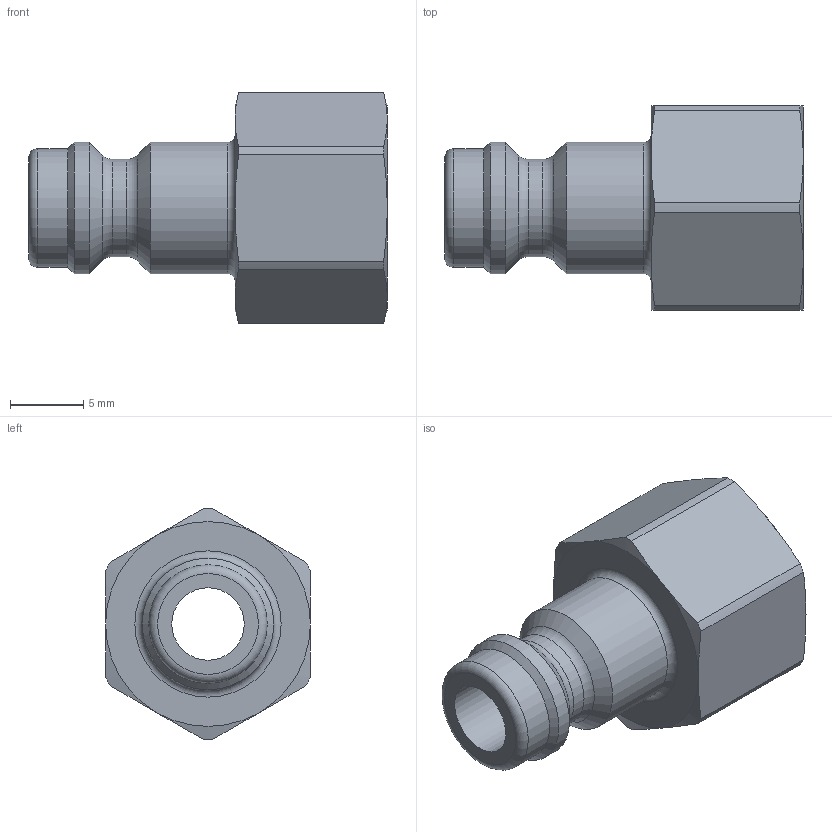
import cadquery as cq
import math

total_length = 24.5
collar_chamfer_start = 2.65
collar_end = 4.13
shank_start = 8.3
hex_start = 14.1

bore_diameter = 4.95
nose_diameter = 8.1
collar_diameter = 9.0
groove_diameter = 6.65

side_count = 6
across_flats = 14.0
across_corners = 15.8
hex_chamfer_angle = 15.0

nose_radius = 0.6
groove_radius = 1.0
groove_flank_degrees = 45.0
shoulder_radius = 0.5

nose_r = nose_diameter / 2
collar_r = collar_diameter / 2
groove_r = groove_diameter / 2
collar_step = collar_r - nose_r
flank_angle = math.radians(groove_flank_degrees)


def groove_flank_sizes():
    """Cone length, fillet length and fillet height of one groove flank."""
    arc_length = groove_radius * math.sin(flank_angle)
    arc_height = groove_radius * (1 - math.cos(flank_angle))
    cone_length = (collar_r - groove_r - arc_height) / math.tan(flank_angle)
    return cone_length, arc_length, arc_height


def make_plug():
    """Revolved plug: rounded nose, collar, locking groove and shank."""
    cone_length, arc_length, arc_height = groove_flank_sizes()
    half_angle = flank_angle / 2
    mid_length = groove_radius * math.sin(half_angle)
    mid_height = groove_radius * (1 - math.cos(half_angle))
    nose_mid = nose_radius * (1 - math.sqrt(0.5))
    shoulder_mid = shoulder_radius * (1 - math.sqrt(0.5))
    floor_start = collar_end + cone_length + arc_length
    floor_end = shank_start - cone_length - arc_length

    profile = (
        cq.Workplane("XY")
        .moveTo(0, 0)
        .lineTo(0, nose_r - nose_radius)
        .threePointArc((nose_mid, nose_r - nose_mid), (nose_radius, nose_r))
        .lineTo(collar_chamfer_start, nose_r)
        .lineTo(collar_chamfer_start + collar_step, collar_r)
        .lineTo(collar_end, collar_r)
        .lineTo(collar_end + cone_length, groove_r + arc_height)
        .threePointArc((floor_start - mid_length, groove_r + mid_height), (floor_start, groove_r))
        .lineTo(floor_end, groove_r)
        .threePointArc(
            (floor_end + mid_length, groove_r + mid_height),
            (floor_end + arc_length, groove_r + arc_height),
        )
        .lineTo(shank_start, collar_r)
        .lineTo(hex_start - shoulder_radius, collar_r)
        .threePointArc(
            (hex_start - shoulder_mid, collar_r + shoulder_mid),
            (hex_start, collar_r + shoulder_radius),
        )
        .lineTo(hex_start, 0)
        .close()
    )
    return profile.revolve(360, (0, 0, 0), (1, 0, 0))


def make_hex():
    """Hexagon with corners turned to a cylinder and both ends chamfered by a cone."""
    sharp_corner_diameter = across_flats / math.cos(math.pi / side_count)
    hexagon = (
        cq.Workplane("YZ", origin=(hex_start, 0, 0))
        .transformed(rotate=(0, 0, 90))
        .polygon(side_count, sharp_corner_diameter)
        .extrude(total_length - hex_start)
    )
    face_r = across_flats / 2
    corner_r = across_corners / 2
    chamfer_length = (corner_r - face_r) * math.tan(math.radians(hex_chamfer_angle))
    envelope = (
        cq.Workplane("XY")
        .moveTo(hex_start, 0)
        .lineTo(hex_start, face_r)
        .lineTo(hex_start + chamfer_length, corner_r)
        .lineTo(total_length - chamfer_length, corner_r)
        .lineTo(total_length, face_r)
        .lineTo(total_length, 0)
        .close()
        .revolve(360, (0, 0, 0), (1, 0, 0))
    )
    return hexagon.intersect(envelope)


def make_bore():
    """Cylinder for the bore through the whole part."""
    return cq.Workplane("YZ").circle(bore_diameter / 2).extrude(total_length)


result = make_plug().union(make_hex()).cut(make_bore())